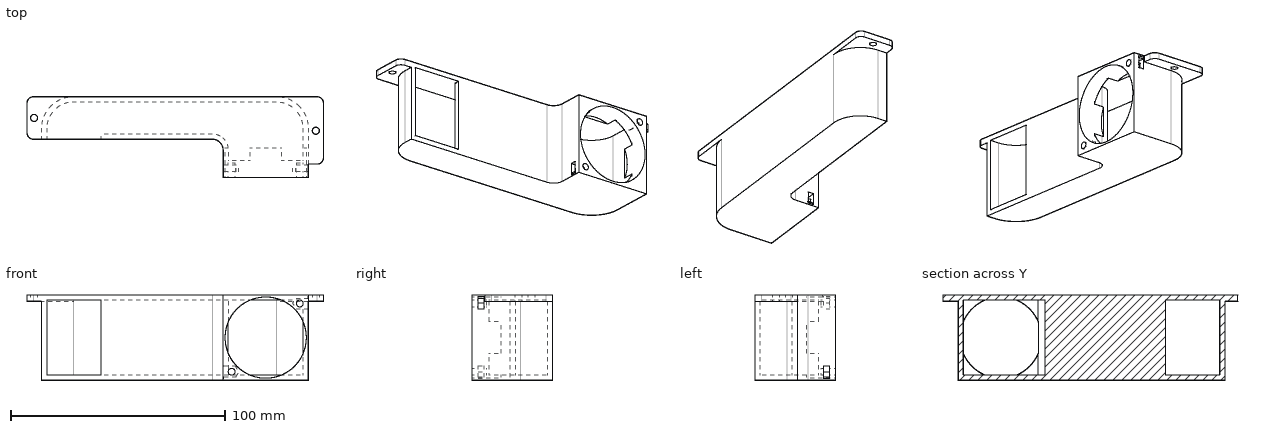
import cadquery as cq
import math

length = 138.6
depth = 37.9
height = 40.0
wall = 2.5

body_left = 6.8
body_right = 131.6
fan_left = body_right - height
arm_front = 17.9
elbow_radius = 5.0
back_radius = 15.0

plate_thickness = 3.0
plate_radius = 3.0
right_tab_front = 6.2
screw_diameter = 3.2
plate_holes = [(3.3, 27.9), (135.0, 21.9)]

window_width = 25.2

fan_x = (fan_left + body_right) / 2
fan_z = height / 2
fan_diameter = 38.0
fan_depth = 13.7
cavity_front = 8.0
fan_screw_offset = 16.0
fan_screw_depth = 7.0

nut_front = 2.9
nut_thickness = 2.9
nut_bottom = 0.8
nut_top = 6.7
nut_reach = 7.3
nut_tip_height = 3.9
nut_floor = 1.7
nut_lip_depth = 0.1
nut_slope = math.tan(math.radians(30))


def body_plan(inset, front):
    """Block with the plan of the body, inset from its outer walls."""
    plan = (
        cq.Workplane("XY")
        .moveTo(body_left + inset, arm_front + inset)
        .lineTo(fan_left + inset, arm_front + inset)
        .lineTo(fan_left + inset, front)
        .lineTo(body_right - inset, front)
        .lineTo(body_right - inset, depth - inset)
        .lineTo(body_left + inset, depth - inset)
        .close()
        .extrude(height - 2 * inset)
        .translate((0, 0, inset))
    )
    elbow = cq.selectors.NearestToPointSelector((fan_left + inset, arm_front + inset, fan_z))
    plan = plan.edges(elbow).fillet(elbow_radius + inset)
    return plan.edges("|Z and >Y").fillet(back_radius - inset)


def mounting_plate():
    def slab(left, right, front):
        return (
            cq.Workplane("XY", origin=(0, 0, height - plate_thickness))
            .moveTo(left, front)
            .lineTo(right, front)
            .lineTo(right, depth)
            .lineTo(left, depth)
            .close()
            .extrude(plate_thickness)
        )

    arm = slab(0, fan_x, arm_front).edges("|Z and <X").fillet(plate_radius)
    tab = slab(fan_x, length, right_tab_front).edges("|Z and >X").fillet(plate_radius)
    holes = (
        cq.Workplane("XY")
        .pushPoints(plate_holes)
        .circle(screw_diameter / 2)
        .extrude(height)
    )
    return arm.union(tab).cut(holes)


def window():
    return cq.Workplane("XY").box(
        window_width, 2 * wall, height - 2 * wall, centered=False
    ).translate((body_left + wall, arm_front, wall))


def front_cylinder(x, z, diameter, cut_depth):
    """Round cutter running back from the front face."""
    return (
        cq.Workplane("XZ", origin=(x, 0, z))
        .circle(diameter / 2)
        .extrude(-cut_depth)
    )


def fan_fixing():
    """Lower left fan screw hole with its nut slot, pointed at the inner end."""
    screw = front_cylinder(
        fan_x - fan_screw_offset, fan_z - fan_screw_offset, screw_diameter, fan_screw_depth
    )
    tip = fan_left + nut_reach
    lip = fan_left + nut_lip_depth
    upper_end = tip - (nut_top - nut_tip_height) * nut_slope
    lower_end = tip - (nut_tip_height - nut_floor) * nut_slope
    slot = (
        cq.Workplane("XZ", origin=(0, nut_front, 0))
        .moveTo(fan_left, nut_bottom)
        .lineTo(lip, nut_bottom)
        .lineTo(lip, nut_floor)
        .lineTo(lower_end, nut_floor)
        .lineTo(tip, nut_tip_height)
        .lineTo(upper_end, nut_top)
        .lineTo(fan_left, nut_top)
        .close()
        .extrude(-nut_thickness)
    )
    return screw.union(slot)


result = body_plan(0, 0).union(mounting_plate())
result = result.cut(body_plan(wall, cavity_front)).cut(window())
result = result.cut(front_cylinder(fan_x, fan_z, fan_diameter, fan_depth))

for angle in (0, 180):
    result = result.cut(fan_fixing().rotate((fan_x, 0, fan_z), (fan_x, 1, fan_z), angle))